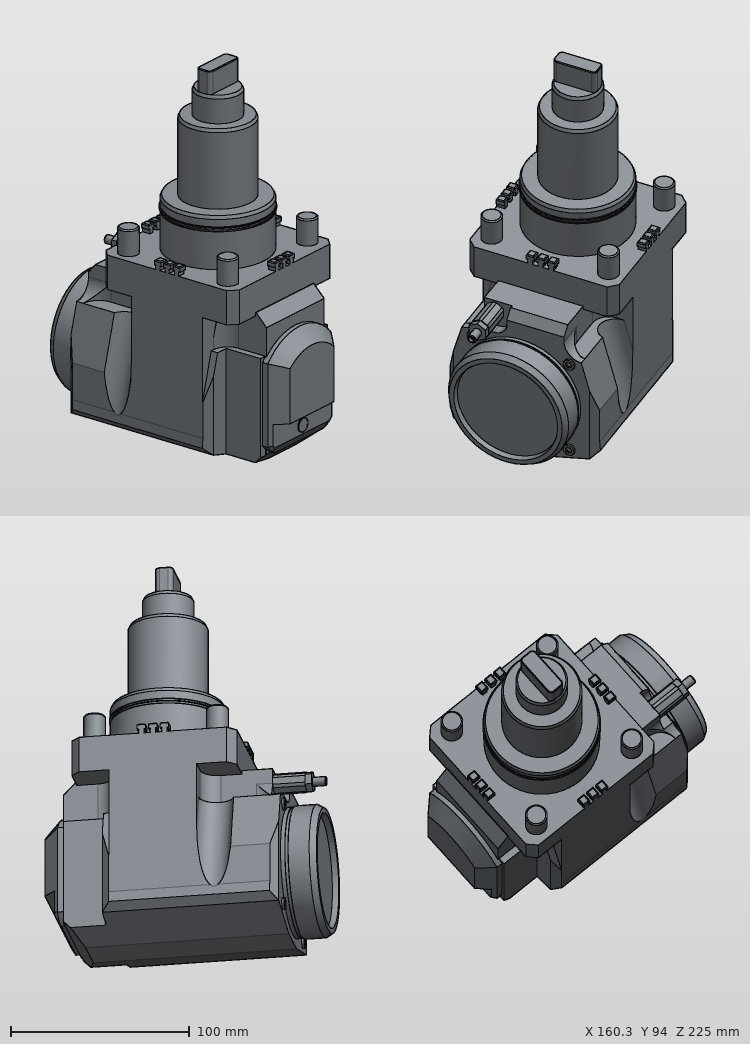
import cadquery as cq
import math


FAR = 200.0

SPIGOT_R = 32.5
SPIGOT_TOP = 32.5
RING_R = 33.0
RING_Z = 24.8
RING_HEIGHT = 1.0
GROOVE_R = 32.0
GROOVE_BOTTOM = 23.0
GROOVE_TOP = 25.8
SHAFT_R = 22.5
SHAFT_TOP = 81.0
NECK_R = 14.5
NECK_TOP = 98.0
EDGE_RISE = 2.0
EDGE_INSET = 1.0
TOTAL_HEIGHT = 225.0
TANG_TOP = 112.2
TANG_THICKNESS = 10.0
TANG_WIDTH = 27.0
TANG_CORNER_R = 2.5
TANG_TOP_CHAMFER = 0.5

FLANGE_HALF = 47.0
FLANGE_HALF_Y = 46.7
FLANGE_THICKNESS = 20.8
FLANGE_CORNER = 5.1
SCREW_X = 35.0
SCREW_Y = 36.5
SCREW_R = 6.1
SCREW_HEIGHT = 16.0
SCREW_CHAMFER = 0.8
KEY_PITCH = 6.6
KEY_HEIGHT = 5.6
KEY_DEPTH = 5.2
KEY_HEAD = 4.8
KEY_STEM = 3.0
KEY_STEM_HEIGHT = 2.6
KEY_CHAMFER = 0.6

BODY_LEFT = -70.9
BODY_RIGHT = 54.6
BODY_TOP = -18.7
BODY_BOTTOM = TANG_TOP - TOTAL_HEIGHT
BODY_HALF = FLANGE_HALF
WALL_HALF = FLANGE_HALF_Y
BAND_TOP = -94.1
BAND_BOTTOM = -100.1
CORNER = 4.5
BELLY_HALF = 11.8
SPINDLE_Z = -71.8
SLOPE_ANGLE = 15.8
CHEEK_HALF = 30.8
CHEEK_RIGHT = 53.8
TOP_LEFT_CHAMFER_X = 4.8
TOP_LEFT_CHAMFER_Z = 5.5
RIGHT_CHAMFER = 7.3
RIGHT_BOTTOM_CHAMFER = 9.8

POCKET_R = 10.0
POCKET_WALL = SCREW_X - POCKET_R
NECK_HALF = SCREW_Y - POCKET_R
CHEEK_LEFT = POCKET_WALL + CORNER
LEFT_FLOOR = -38.7
COVE_R = 11.2
LEFT_POCKET_END = -66.4
RIGHT_FLOOR = -43.6
RELIEF_END_Z = -95.0

NUT_R = 37.5
NUT_FACE = -91.0
NUT_CHAMFER_X = 3.7
NUT_CHAMFER_R = 2.2
NUT_BACK = -75.2
NUT_GROOVE_R = 36.3
NUT_COLLAR_R = 36.9
NUT_COLLAR_FRONT = -73.3
BORE_R = 32.4
BORE_FLOOR_R = 31.9
BORE_DEPTH = 3.5
COVER_SCREW_OFFSET = 30.0
COVER_SCREW_R = 3.4
COVER_SCREW_HEIGHT = 1.3
COVER_SOCKET_R = 1.9
COVER_SOCKET_DEPTH = 1.0

NOZZLE_Y = 20.0
NOZZLE_Z = -25.8
NOZZLE_TIP = -93.9
NOZZLE_COLLAR = -86.3
NOZZLE_BODY = -82.7
NOZZLE_TIP_R = 2.6
NOZZLE_TIP_CHAMFER = 0.5
NOZZLE_BORE_R = 1.5
NOZZLE_BORE_DEPTH = 2.0
HEX_COLLAR = 11.8
HEX_BODY = 12.8
HEX_BODY_R = 5.9
RECESS_X = -64.3
RECESS_SIDE = 10.8
RECESS_BELOW = 9.7
RECESS_CORNER_R = 8.0

CAP_R = 38.6
CAP_HALF = 29.1
CAP_END = 66.4
CAP_CONE = 8.9
CAP_STEP_Z = -83.5
CAP_STEP_X = 59.6
CAP_BOTTOM = -103.2
CAP_BOTTOM_RISE = 5.0
CAP_BOTTOM_RUN = 3.0
CAP_SCREW_R = 4.2
CAP_SCREW_Z = -92.5
CAP_SCREW_HEIGHT = 0.7

SIDES = (-1, 1)


def box(x0, x1, y0, y1, z0, z1):
    return cq.Workplane("XY").box(x1 - x0, y1 - y0, z1 - z0, centered=False).translate((x0, y0, z0))


def rod_x(x0, x1, y, z, radius):
    return cq.Workplane("YZ", origin=(x0, y, z)).circle(radius).extrude(x1 - x0)


def rod_z(x, y, z0, z1, radius):
    return cq.Workplane("XY", origin=(x, y, z0)).circle(radius).extrude(z1 - z0)


def mirrored_y(solid):
    """The solid together with its mirror image across the XZ plane."""
    return solid.union(solid.mirror("XZ"))


def make_shaft():
    """Spigot with its seal ring, shaft, neck and driving tang."""
    ring_top = RING_Z + RING_HEIGHT / 2
    ring_bottom = RING_Z - RING_HEIGHT / 2
    profile = [
        (0, -FLANGE_THICKNESS),
        (SPIGOT_R, -FLANGE_THICKNESS),
        (SPIGOT_R, GROOVE_BOTTOM),
        (GROOVE_R, GROOVE_BOTTOM),
        (GROOVE_R, ring_bottom),
        (RING_R, ring_bottom),
        (RING_R, ring_top),
        (GROOVE_R, ring_top),
        (GROOVE_R, GROOVE_TOP),
        (SPIGOT_R, GROOVE_TOP),
    ]
    for radius, top in ((SPIGOT_R, SPIGOT_TOP), (SHAFT_R, SHAFT_TOP), (NECK_R, NECK_TOP)):
        if radius != SPIGOT_R:
            profile.append((radius, profile[-1][1]))
        profile.append((radius, top - EDGE_RISE))
        profile.append((radius - EDGE_INSET, top))
    profile.append((0, NECK_TOP))
    shaft = cq.Workplane("XZ").polyline(profile).close().revolve(360, (0, 0), (0, 1))
    tang = cq.Workplane("XY", origin=(0, 0, NECK_TOP)).rect(TANG_THICKNESS, TANG_WIDTH)
    tang = tang.extrude(TANG_TOP - NECK_TOP).edges("|Z").fillet(TANG_CORNER_R)
    return shaft.union(tang.faces(">Z").chamfer(TANG_TOP_CHAMFER))


def make_key(edge):
    """T-shaped driving key at the middle of the flange edge that lies at Y = -edge."""
    half_head = KEY_HEAD / 2
    half_stem = KEY_STEM / 2
    outline = [
        (-half_stem, 0),
        (half_stem, 0),
        (half_stem, KEY_STEM_HEIGHT),
        (half_head, KEY_STEM_HEIGHT),
        (half_head, KEY_HEIGHT),
        (-half_head, KEY_HEIGHT),
        (-half_head, KEY_STEM_HEIGHT),
        (-half_stem, KEY_STEM_HEIGHT),
    ]
    key = cq.Workplane("XZ", origin=(0, KEY_DEPTH - edge, 0)).polyline(outline).close()
    return key.extrude(KEY_DEPTH).faces(">Z").chamfer(KEY_CHAMFER)


def make_flange():
    """Square flange with four screws and three keys on every edge."""
    flange = cq.Workplane("XY").rect(2 * FLANGE_HALF, 2 * FLANGE_HALF_Y).extrude(-FLANGE_THICKNESS)
    flange = flange.edges("|Z").chamfer(FLANGE_CORNER)
    for sx in SIDES:
        for sy in SIDES:
            screw = rod_z(sx * SCREW_X, sy * SCREW_Y, -FLANGE_THICKNESS / 2, SCREW_HEIGHT, SCREW_R)
            flange = flange.union(screw.faces(">Z").chamfer(SCREW_CHAMFER))
    for quarter in range(4):
        edge = FLANGE_HALF if quarter % 2 else FLANGE_HALF_Y
        for step in (-1, 0, 1):
            key = make_key(edge).translate((step * KEY_PITCH, 0, 0))
            flange = flange.union(key.rotate((0, 0, 0), (0, 0, 1), 90 * quarter))
    return flange


def housing_blank():
    """YZ cross-section extruded along X, trimmed to the chamfered XZ outline."""
    half = [
        (BELLY_HALF, BODY_BOTTOM),
        (BODY_HALF - CORNER, BAND_BOTTOM - CORNER),
        (BODY_HALF, BAND_BOTTOM),
        (WALL_HALF, BAND_TOP),
        (WALL_HALF, BODY_TOP),
    ]
    section = half + [(-y, z) for y, z in reversed(half)]
    blank = cq.Workplane("YZ", origin=(BODY_LEFT, 0, 0)).polyline(section).close()
    blank = blank.extrude(BODY_RIGHT - BODY_LEFT)
    side_outline = [
        (BODY_LEFT, BODY_BOTTOM),
        (BODY_RIGHT - RIGHT_BOTTOM_CHAMFER, BODY_BOTTOM),
        (BODY_RIGHT, BODY_BOTTOM + RIGHT_BOTTOM_CHAMFER),
        (BODY_RIGHT, BODY_TOP - RIGHT_CHAMFER),
        (BODY_RIGHT - RIGHT_CHAMFER, BODY_TOP),
        (BODY_LEFT + TOP_LEFT_CHAMFER_X, BODY_TOP),
        (BODY_LEFT, BODY_TOP - TOP_LEFT_CHAMFER_Z),
    ]
    envelope = cq.Workplane("XZ").polyline(side_outline).close().extrude(FAR / 2, both=True)
    return blank.intersect(envelope)


def corner_cut(x_end, direction):
    """45 degree cut on the +Y vertical edge at x_end; direction points into the block."""
    triangle = [
        (x_end, BODY_HALF - CORNER),
        (x_end + direction * CORNER, BODY_HALF),
        (x_end, BODY_HALF),
    ]
    return cq.Workplane("XY", origin=(0, 0, -FAR)).polyline(triangle).close().extrude(FAR)


def slope_cut(x0, x1):
    """Wedge above the spindle axis that leans the +Y side wall inwards."""
    rise = BODY_TOP - SPINDLE_Z
    inset = rise * math.tan(math.radians(SLOPE_ANGLE))
    wedge = [(WALL_HALF, SPINDLE_Z), (FAR, SPINDLE_Z), (FAR, BODY_TOP), (WALL_HALF - inset, BODY_TOP)]
    return cq.Workplane("YZ", origin=(x0, 0, 0)).polyline(wedge).close().extrude(x1 - x0)


def left_pocket():
    """Pocket around the left +Y screw, open to the side, with a coved run-out to the left end."""
    top = BODY_TOP
    floor = LEFT_FLOOR
    mill_x = LEFT_POCKET_END + COVE_R
    cove_y = NECK_HALF + COVE_R
    cove_z = floor + COVE_R
    pocket = box(mill_x, -SCREW_X, NECK_HALF, FAR, floor, top)
    pocket = pocket.union(box(LEFT_POCKET_END, -POCKET_WALL, cove_y, FAR, floor, top))
    pocket = pocket.union(rod_z(-SCREW_X, SCREW_Y, floor, top, POCKET_R))
    pocket = pocket.union(box(-SCREW_X, -POCKET_WALL, SCREW_Y, FAR, floor, top))
    pocket = pocket.union(rod_z(mill_x, cove_y, floor, top, COVE_R))
    pocket = pocket.union(rod_x(-FAR, mill_x, cove_y, cove_z, COVE_R))
    pocket = pocket.union(box(-FAR, mill_x, NECK_HALF, FAR, cove_z, top))
    return pocket.union(box(-FAR, mill_x, cove_y, FAR, floor, top))


def right_pocket():
    """Pocket around the right +Y screw, open to the side and to the right end."""
    pocket = box(SCREW_X, FAR, NECK_HALF, FAR, RIGHT_FLOOR, BODY_TOP)
    pocket = pocket.union(box(POCKET_WALL, FAR, SCREW_Y, FAR, RIGHT_FLOOR, BODY_TOP))
    return pocket.union(rod_z(SCREW_X, SCREW_Y, RIGHT_FLOOR, BODY_TOP, POCKET_R))


def tilted_relief():
    """Round-bottomed groove below the left +Y screw, running out of the side wall."""
    angle = math.radians(SLOPE_ANGLE)
    axis_exit_z = RELIEF_END_Z + POCKET_R / math.sin(angle)
    rod = cq.Workplane("XY").circle(POCKET_R).extrude(FAR, both=True)
    rod = rod.union(box(-POCKET_R, POCKET_R, 0, FAR, -FAR, FAR))
    rod = rod.rotate((0, 0, 0), (1, 0, 0), SLOPE_ANGLE)
    rod = rod.translate((-SCREW_X, WALL_HALF, axis_exit_z))
    return rod.intersect(box(-FAR, FAR, 0, FAR, -FAR, LEFT_FLOOR))


def make_housing():
    housing = housing_blank()
    cutters = [
        left_pocket(),
        right_pocket(),
        tilted_relief(),
        slope_cut(BODY_LEFT, -SCREW_X),
        slope_cut(POCKET_WALL, BODY_RIGHT),
        corner_cut(BODY_LEFT, 1),
        corner_cut(CHEEK_LEFT, -1),
        box(CHEEK_LEFT, FAR, CHEEK_HALF, FAR, -FAR, BODY_TOP),
        box(CHEEK_RIGHT, FAR, NECK_HALF, FAR, -FAR, RIGHT_FLOOR),
    ]
    for cutter in cutters:
        housing = housing.cut(mirrored_y(cutter))
    return housing.cut(nozzle_recess())


def nozzle_recess():
    """Shallow recess in the left face around the nozzle, open upwards and towards +Y."""
    y0 = NOZZLE_Y - RECESS_SIDE
    z0 = NOZZLE_Z - RECESS_BELOW
    recess = box(BODY_LEFT, RECESS_X, y0, FAR, z0, BODY_TOP)
    return recess.edges("|X and <Y and <Z").fillet(RECESS_CORNER_R)


def hex_rod(x0, x1, across_corners):
    """Hexagonal bar on the nozzle axis with one corner on top."""
    bar = cq.Workplane("YZ").polygon(6, across_corners).extrude(x1 - x0)
    return bar.rotate((0, 0, 0), (1, 0, 0), 90).translate((x0, NOZZLE_Y, NOZZLE_Z))


def make_nozzle():
    tip = rod_x(NOZZLE_TIP, NOZZLE_COLLAR, NOZZLE_Y, NOZZLE_Z, NOZZLE_TIP_R)
    tip = tip.faces("<X").chamfer(NOZZLE_TIP_CHAMFER)
    tip = tip.cut(rod_x(NOZZLE_TIP, NOZZLE_TIP + NOZZLE_BORE_DEPTH, NOZZLE_Y, NOZZLE_Z, NOZZLE_BORE_R))
    collar = hex_rod(NOZZLE_COLLAR, NOZZLE_BODY, HEX_COLLAR)
    body = hex_rod(NOZZLE_BODY, RECESS_X, HEX_BODY)
    body = body.intersect(rod_x(NOZZLE_BODY, RECESS_X, NOZZLE_Y, NOZZLE_Z, HEX_BODY_R))
    return tip.union(collar).union(body)


def make_nut():
    """Spindle nut with its open front recess, revolved about the spindle axis."""
    profile = [
        (BODY_LEFT, 0),
        (NUT_FACE + BORE_DEPTH, 0),
        (NUT_FACE + BORE_DEPTH, BORE_FLOOR_R),
        (NUT_FACE, BORE_R),
        (NUT_FACE, NUT_R - NUT_CHAMFER_R),
        (NUT_FACE + NUT_CHAMFER_X, NUT_R),
        (NUT_BACK, NUT_R),
        (NUT_BACK, NUT_GROOVE_R),
        (NUT_COLLAR_FRONT, NUT_GROOVE_R),
        (NUT_COLLAR_FRONT, NUT_COLLAR_R),
        (BODY_LEFT, NUT_COLLAR_R),
    ]
    nut = cq.Workplane("XZ").polyline(profile).close().revolve(360, (0, 0), (1, 0))
    return nut.translate((0, 0, SPINDLE_Z))


def make_cover_screws():
    screws = cq.Workplane("XY")
    head = BODY_LEFT - COVER_SCREW_HEIGHT
    for sy in SIDES:
        for sz in SIDES:
            y = sy * COVER_SCREW_OFFSET
            z = SPINDLE_Z + sz * COVER_SCREW_OFFSET
            screw = rod_x(head, BODY_LEFT, y, z, COVER_SCREW_R)
            screw = screw.cut(rod_x(head, head + COVER_SOCKET_DEPTH, y, z, COVER_SOCKET_R))
            screws = screws.union(screw)
    return screws


def make_cap():
    """Rear cap: a cone-edged disc with flattened sides, stepped back at the bottom."""
    cone_x = CAP_END - CAP_CONE
    profile = [
        (CHEEK_RIGHT, 0),
        (CHEEK_RIGHT, CAP_R),
        (cone_x, CAP_R),
        (CAP_END, CAP_R - CAP_CONE),
        (CAP_END, 0),
    ]
    cap = cq.Workplane("XZ").polyline(profile).close().revolve(360, (0, 0), (1, 0))
    cap = cap.translate((0, 0, SPINDLE_Z))
    plan = [
        (CHEEK_RIGHT, CAP_HALF),
        (cone_x, CAP_HALF),
        (CAP_END, CAP_HALF - CAP_CONE),
        (CAP_END, CAP_CONE - CAP_HALF),
        (cone_x, -CAP_HALF),
        (CHEEK_RIGHT, -CAP_HALF),
    ]
    cap = cap.intersect(cq.Workplane("XY").polyline(plan).close().extrude(FAR, both=True))
    side_outline = [
        (CHEEK_RIGHT, 0),
        (CAP_END, 0),
        (CAP_END, CAP_STEP_Z),
        (CAP_STEP_X, CAP_STEP_Z),
        (CAP_STEP_X, CAP_BOTTOM + CAP_BOTTOM_RISE),
        (CAP_STEP_X - CAP_BOTTOM_RUN, CAP_BOTTOM),
        (CHEEK_RIGHT, CAP_BOTTOM),
    ]
    cap = cap.intersect(cq.Workplane("XZ").polyline(side_outline).close().extrude(FAR, both=True))
    return cap.union(rod_x(CAP_STEP_X, CAP_STEP_X + CAP_SCREW_HEIGHT, 0, CAP_SCREW_Z, CAP_SCREW_R))


result = make_housing()
for component in (
    make_flange(),
    make_shaft(),
    make_nozzle(),
    make_nut(),
    make_cover_screws(),
    make_cap(),
):
    result = result.union(component)